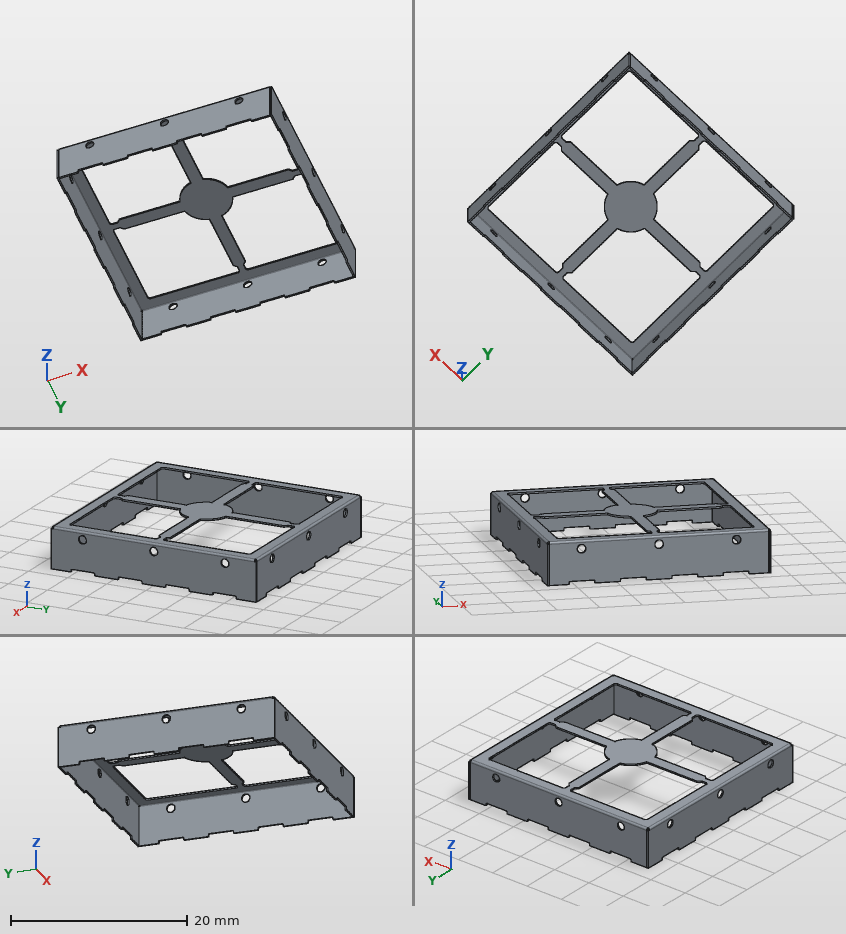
import cadquery as cq
SIDE = 26.2
HALF = SIDE / 2
HEIGHT = 5.08
SHEET = 0.2
BEND_RADIUS = 0.25
INNER_BEND_RADIUS = BEND_RADIUS - SHEET

OPENING_HALF = 11.55
OPENING_FILLET = 0.3
DISC_RADIUS = 3.01
ARM_WIDTH = 1.5
NECK_WIDTH = 0.75
NECK_LENGTH = 0.9
OPENING_COUNT = 4

HOLE_DIAMETER = 1.0
HOLE_SPACING = 9.1
HOLE_DROP = 1.0
HOLE_COUNT = 3

NOTCH_COUNT = 4
NOTCH_WIDTH = 3.01
NOTCH_PITCH = 2 * NOTCH_WIDTH
NOTCH_DEPTH = 0.35
NOTCH_FILLET = 0.1


def box_on_base(size, height):
    """Square box centred on the Z axis and standing on Z = 0."""
    return cq.Workplane("XY").box(size, size, height, centered=(True, True, False))


def turned(body, quarters):
    """Body turned about the Z axis by a number of quarter turns."""
    return body.rotate((0, 0, 0), (0, 0, 1), 90 * quarters)


def row_positions(count, pitch):
    """Evenly spaced positions centred on zero."""
    return [(index - (count - 1) / 2) * pitch for index in range(count)]


def make_shell():
    """Open-bottomed sheet box with rounded bends along its top edges."""
    outer = box_on_base(SIDE, HEIGHT)
    outer = outer.faces(">Z").edges().fillet(BEND_RADIUS)
    inner = box_on_base(SIDE - 2 * SHEET, HEIGHT - SHEET)
    inner = inner.faces(">Z").edges().fillet(INNER_BEND_RADIUS)
    return outer.cut(inner)


def make_corner_reliefs():
    """Cuts that free the walls from each other at the four corners.

    The bends stop short of the corners. Below them the X walls run the full
    width, and a narrow slit parts each one from the ends of the Y walls.
    """
    corner_span = SIDE - BEND_RADIUS
    bends = cq.Workplane("XY", origin=(0, 0, HEIGHT - BEND_RADIUS))
    bends = bends.rect(corner_span, corner_span, forConstruction=True).vertices()
    bends = bends.rect(BEND_RADIUS, BEND_RADIUS).extrude(BEND_RADIUS)

    slit_span = SIDE - SHEET - BEND_RADIUS
    slits = cq.Workplane("XY").rect(slit_span, corner_span, forConstruction=True).vertices()
    slits = slits.rect(BEND_RADIUS - SHEET, BEND_RADIUS).extrude(HEIGHT)
    return bends.union(slits)


def make_openings():
    """Cutters for the openings that leave the necked arms and the disc."""
    arm = ARM_WIDTH / 2
    neck = NECK_WIDTH / 2
    neck_start = OPENING_HALF - NECK_LENGTH
    taper_start = neck_start - (arm - neck)
    outline = [
        (arm, arm),
        (taper_start, arm),
        (neck_start, neck),
        (OPENING_HALF, neck),
        (OPENING_HALF, OPENING_HALF),
        (neck, OPENING_HALF),
        (neck, neck_start),
        (arm, taper_start),
    ]
    opening = cq.Workplane("XY", origin=(0, 0, HEIGHT - 2 * SHEET))
    opening = opening.polyline(outline).close().extrude(2 * SHEET)
    rim_edges = opening.faces(">X or >Y").edges("|Z")
    opening = opening.newObject(rim_edges.vals()).fillet(OPENING_FILLET)
    opening = opening.cut(cq.Workplane("XY").circle(DISC_RADIUS).extrude(HEIGHT))

    openings = opening
    for quarters in range(1, OPENING_COUNT):
        openings = openings.union(turned(opening, quarters))
    return openings


def make_holes():
    """Holes running along Y through two opposite walls."""
    centres = [(x, HEIGHT - HOLE_DROP) for x in row_positions(HOLE_COUNT, HOLE_SPACING)]
    wall = cq.Workplane("XZ", origin=(0, HALF, 0))
    return wall.pushPoints(centres).circle(HOLE_DIAMETER / 2).extrude(SIDE)


def make_notches():
    """Notches running along Y through two opposite walls.

    Their upper corners are rounded, and their mouths flare out in rounds.
    """
    end = NOTCH_WIDTH / 2
    mouth = end + NOTCH_FILLET
    ceiling = end - NOTCH_FILLET
    notch = (
        cq.Workplane("XZ", origin=(0, HALF, 0))
        .moveTo(-mouth, 0)
        .radiusArc((-end, NOTCH_FILLET), -NOTCH_FILLET)
        .lineTo(-end, NOTCH_DEPTH - NOTCH_FILLET)
        .radiusArc((-ceiling, NOTCH_DEPTH), NOTCH_FILLET)
        .lineTo(ceiling, NOTCH_DEPTH)
        .radiusArc((end, NOTCH_DEPTH - NOTCH_FILLET), NOTCH_FILLET)
        .lineTo(end, NOTCH_FILLET)
        .radiusArc((mouth, 0), -NOTCH_FILLET)
        .close()
        .extrude(SIDE)
    )
    notches = cq.Workplane("XY")
    for x in row_positions(NOTCH_COUNT, NOTCH_PITCH):
        notches = notches.union(notch.translate((x, 0, 0)))
    return notches


frame = make_shell().cut(make_corner_reliefs()).cut(make_openings())
wall_cuts = make_holes().union(make_notches())
result = frame.cut(wall_cuts).cut(turned(wall_cuts, 1))